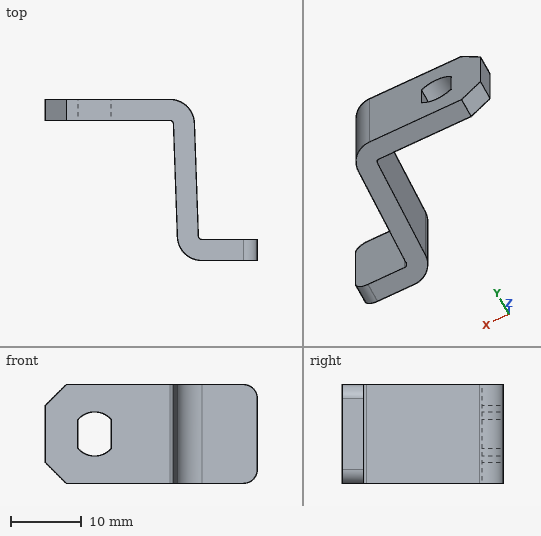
import cadquery as cq
import math

length = 30.0
depth = 22.8
width = 14.0
thickness = 3.0
web_angle = 2.0
inner_corner_x = 18.1
inner_bend_radius = 0.5
outer_bend_radius = inner_bend_radius + thickness

end_chamfer = 3.0
end_corner_radius = 2.0

hole_x = 7.0
hole_diameter = 6.2
hole_across_flats = 4.7

web_slope = math.tan(math.radians(web_angle))
web_width_x = thickness / math.cos(math.radians(web_angle))
mount_inner_y = depth - thickness


def web_left_x(y):
    """X of the web face on the mounting-flange side at a given Y."""
    return inner_corner_x + (mount_inner_y - y) * web_slope


def web_right_x(y):
    """X of the web face on the end-flange side at a given Y."""
    return web_left_x(y) + web_width_x


def bend_edge(x, y):
    """Selector for the Z-parallel edge that passes through (x, y)."""
    return cq.selectors.NearestToPointSelector((x, y, width / 2))


def bent_strip():
    mount_inner = (web_left_x(mount_inner_y), mount_inner_y)
    mount_outer = (web_right_x(depth), depth)
    end_inner = (web_right_x(thickness), thickness)
    end_outer = (web_left_x(0), 0)
    strip = (
        cq.Workplane("XY")
        .moveTo(0, depth)
        .lineTo(*mount_outer)
        .lineTo(*end_inner)
        .lineTo(length, thickness)
        .lineTo(length, 0)
        .lineTo(*end_outer)
        .lineTo(*mount_inner)
        .lineTo(0, mount_inner_y)
        .close()
        .extrude(width)
    )
    for corner in (mount_outer, end_outer):
        strip = strip.edges("|Z").edges(bend_edge(*corner)).fillet(outer_bend_radius)
    for corner in (mount_inner, end_inner):
        strip = strip.edges("|Z").edges(bend_edge(*corner)).fillet(inner_bend_radius)
    return strip


def flatted_hole():
    """Double-D cutter through the mounting flange: a cylinder trimmed by two flats."""
    center = (hole_x, depth - thickness / 2, width / 2)
    cylinder = (
        cq.Workplane("XZ", origin=center)
        .circle(hole_diameter / 2)
        .extrude(thickness, both=True)
    )
    flats = cq.Workplane("XY", origin=center).box(hole_across_flats, 2 * thickness, hole_diameter)
    return cylinder.intersect(flats)


bracket = bent_strip()
bracket = bracket.faces("<X").edges("|Y").chamfer(end_chamfer)
bracket = bracket.faces(">X").edges("|Y").fillet(end_corner_radius)
result = bracket.cut(flatted_hole())